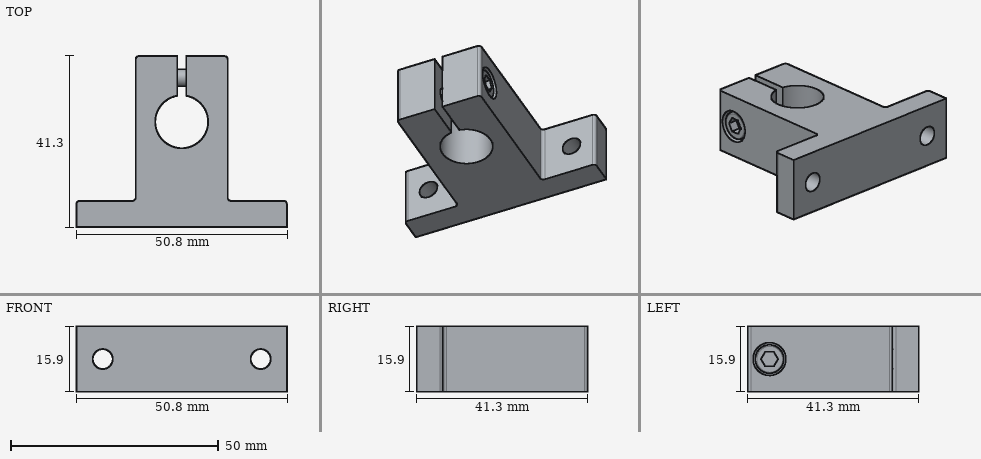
import cadquery as cq
import math

INCH = 25.4

base_width = 2 * INCH
base_thickness = INCH / 4
stem_width = 7 / 8 * INCH
total_length = 1.625 * INCH
height = 5 / 8 * INCH
edge_radius = INCH / 32

bore_diameter = INCH / 2
bore_y = INCH
slot_width = 2.1

mount_hole_diameter = 3 / 16 * INCH
mount_hole_spacing = 1.5 * INCH

screw_y = 36.0
screw_diameter = 4.17
screw_length = 5 / 8 * INCH
head_diameter = 6.86
head_height = screw_diameter
head_edge_radius = 0.3
head_setback = 0.4
recess_diameter = 5 / 16 * INCH
socket_across_flats = 9 / 64 * INCH
socket_depth = 2.4

head_top_x = -stem_width / 2 + head_setback
head_seat_x = head_top_x + head_height


def cylinder_along_x(diameter, start_x, length):
    """Cylinder on the screw axis, starting at start_x and running toward +X."""
    return (
        cq.Workplane("YZ", origin=(start_x, screw_y, 0))
        .circle(diameter / 2)
        .extrude(length)
    )


def make_t_block():
    """T-shaped block with rounded outer and inner corners; the mounting face stays sharp."""
    base = cq.Workplane("XY").box(base_width, base_thickness, height, centered=(True, False, True))
    stem = cq.Workplane("XY").box(stem_width, total_length, height, centered=(True, False, True))
    return base.union(stem).edges("|Z").edges("not <Y").fillet(edge_radius)


def make_bore_and_slot():
    bore = (
        cq.Workplane("XY")
        .center(0, bore_y)
        .circle(bore_diameter / 2)
        .extrude(height / 2, both=True)
    )
    slot = (
        cq.Workplane("XY", origin=(0, bore_y, 0))
        .box(slot_width, total_length - bore_y, height, centered=(True, False, True))
    )
    return bore.union(slot)


def make_mount_holes():
    return (
        cq.Workplane("XZ")
        .pushPoints([(-mount_hole_spacing / 2, 0), (mount_hole_spacing / 2, 0)])
        .circle(mount_hole_diameter / 2)
        .extrude(-base_thickness)
    )


def make_screw_pocket():
    """Head recess open to the -X stem side, followed by a hole that fits the shank."""
    recess = cylinder_along_x(recess_diameter, -stem_width / 2, head_setback + head_height)
    shank_hole = cylinder_along_x(screw_diameter, head_seat_x, screw_length)
    return recess.union(shank_hole)


def make_shaft_support():
    return (
        make_t_block()
        .cut(make_bore_and_slot())
        .cut(make_mount_holes())
        .cut(make_screw_pocket())
    )


def make_clamp_screw():
    """Socket head cap screw with a hexagonal socket whose corners point along Y."""
    head = cylinder_along_x(head_diameter, head_top_x, head_height).edges("<X").fillet(head_edge_radius)
    shank = cylinder_along_x(screw_diameter, head_seat_x, screw_length)
    socket_across_corners = socket_across_flats / math.cos(math.pi / 6)
    socket = (
        cq.Workplane("YZ", origin=(head_top_x, screw_y, 0))
        .polygon(6, socket_across_corners)
        .extrude(socket_depth)
    )
    return head.union(shank).cut(socket)


shaft_support = make_shaft_support()
clamp_screw = make_clamp_screw()

result = cq.Compound.makeCompound([shaft_support.val(), clamp_screw.val()])